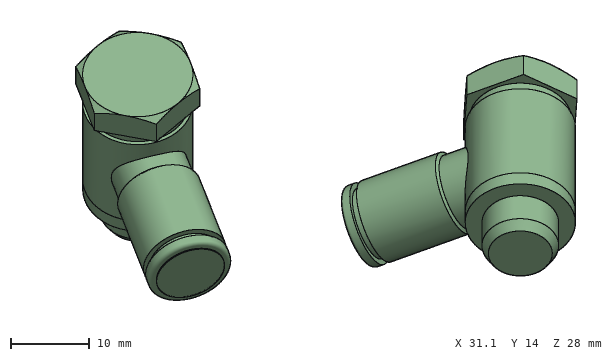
import cadquery as cq
import math


TIP_CHAMFER_HEIGHT = 1.4
WASHER_BOTTOM = 5.5
WASHER_THICKNESS = 2.0
HOUSING_HEIGHT = 15.0
NECK_HEIGHT = 1.5
HEAD_HEIGHT = 4.0
HOUSING_BOTTOM = WASHER_BOTTOM + WASHER_THICKNESS
HOUSING_TOP = HOUSING_BOTTOM + HOUSING_HEIGHT
HEAD_BOTTOM = HOUSING_TOP + NECK_HEIGHT
HEAD_TOP = HEAD_BOTTOM + HEAD_HEIGHT

TIP_DIAMETER = 8.1
STEM_DIAMETER = 9.73
NECK_DIAMETER = 13.0
HOUSING_DIAMETER = 14.0
HEAD_ACROSS_FLATS = HOUSING_DIAMETER
HEAD_ACROSS_CORNERS = HEAD_ACROSS_FLATS / math.cos(math.radians(30))
HEAD_CHAMFER_ANGLE = 30.0

ARM_AXIS_HEIGHT = HOUSING_BOTTOM + HOUSING_HEIGHT / 2
TOTAL_LENGTH = 31.08
ARM_END = 9.0
SLEEVE_LENGTH = 11.5
SLEEVE_CHAMFER_LENGTH = 0.28
SLEEVE_END = ARM_END + SLEEVE_LENGTH
BUTTON_NECK_LENGTH = 0.95
BUTTON_LIP_LENGTH = 0.15
BUTTON_ROUNDING = 0.5
BUTTON_END = TOTAL_LENGTH - HEAD_ACROSS_CORNERS / 2
ARM_DIAMETER = 10.0
SLEEVE_DIAMETER = 11.0
BUTTON_NECK_DIAMETER = 9.5
BUTTON_LIP_DIAMETER = 9.0


def upright_cylinder(diameter, bottom, top):
    return cq.Workplane("XY", origin=(0, 0, bottom)).circle(diameter / 2).extrude(top - bottom)


def arm_cylinder(diameter, start, end):
    return cq.Workplane("YZ", origin=(start, 0, ARM_AXIS_HEIGHT)).circle(diameter / 2).extrude(end - start)


def make_hex_head():
    """Hexagon with corners on X; a cone takes off the upper corners."""
    prism = (
        cq.Workplane("XY", origin=(0, 0, HEAD_BOTTOM))
        .polygon(6, HEAD_ACROSS_CORNERS)
        .extrude(HEAD_HEIGHT)
    )
    top_radius = HEAD_ACROSS_FLATS / 2
    bottom_radius = top_radius + HEAD_HEIGHT / math.tan(math.radians(HEAD_CHAMFER_ANGLE))
    cone = (
        cq.Workplane("XZ")
        .moveTo(0, HEAD_BOTTOM)
        .lineTo(bottom_radius, HEAD_BOTTOM)
        .lineTo(top_radius, HEAD_TOP)
        .lineTo(0, HEAD_TOP)
        .close()
        .revolve(360, (0, 0, 0), (0, 1, 0))
    )
    return prism.intersect(cone)


def make_bolt():
    tip_inset = (STEM_DIAMETER - TIP_DIAMETER) / 2
    stem = upright_cylinder(STEM_DIAMETER, 0, HOUSING_TOP)
    stem = stem.faces("<Z").edges().chamfer(TIP_CHAMFER_HEIGHT, tip_inset)
    neck = upright_cylinder(NECK_DIAMETER, HOUSING_TOP, HEAD_BOTTOM)
    return stem.union(neck).union(make_hex_head())


def make_washer():
    ring = upright_cylinder(HOUSING_DIAMETER, WASHER_BOTTOM, HOUSING_BOTTOM)
    return ring.cut(upright_cylinder(STEM_DIAMETER, WASHER_BOTTOM, HOUSING_BOTTOM))


def make_housing():
    """Barrel and side arm in one, bored through for the bolt stem."""
    barrel = upright_cylinder(HOUSING_DIAMETER, HOUSING_BOTTOM, HOUSING_TOP)
    arm = arm_cylinder(ARM_DIAMETER, 0, ARM_END)
    bore = upright_cylinder(STEM_DIAMETER, HOUSING_BOTTOM, HOUSING_TOP)
    return barrel.union(arm).cut(bore)


def make_sleeve():
    """Cylinder with a chamfer that narrows it to the arm diameter where they meet."""
    sleeve = arm_cylinder(SLEEVE_DIAMETER, ARM_END, SLEEVE_END)
    chamfer_inset = (SLEEVE_DIAMETER - ARM_DIAMETER) / 2
    return sleeve.faces("<X").edges().chamfer(SLEEVE_CHAMFER_LENGTH, chamfer_inset)


def make_release_button():
    """Narrow neck, round-edged flange and a low lip on the end face."""
    flange_start = SLEEVE_END + BUTTON_NECK_LENGTH
    flange_end = BUTTON_END - BUTTON_LIP_LENGTH
    neck = arm_cylinder(BUTTON_NECK_DIAMETER, SLEEVE_END, flange_start)
    flange = arm_cylinder(SLEEVE_DIAMETER, flange_start, flange_end)
    flange = flange.faces(">X").edges().fillet(BUTTON_ROUNDING)
    lip = arm_cylinder(BUTTON_LIP_DIAMETER, flange_end, BUTTON_END)
    return neck.union(flange).union(lip)


bolt = make_bolt()
washer = make_washer()
housing = make_housing()
sleeve = make_sleeve()
release_button = make_release_button()

result = cq.Compound.makeCompound(
    [bolt.val(), washer.val(), housing.val(), sleeve.val(), release_button.val()]
)